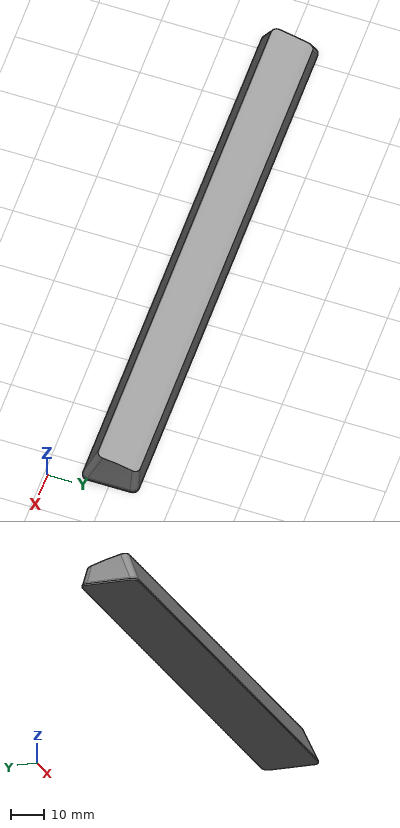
import cadquery as cq
import math

LENGTH = 170.5
WIDTH = 18.0
HEIGHT = 10.2

RIM_HEIGHT = 0.5
SKIRT_HEIGHT = 1.0
SKIRT_INSET = 0.2
BASE_CORNER_RADIUS = 2.0

FRONT_INSET = 4.3
BACK_INSET = 0.7
FRONT_END_INSET = 2.9
BACK_END_INSET = 3.2
TOP_CORNER_RADIUS = 2.0

BACK_HEIGHT = 6.7
CROWN_RISE = 0.3
CROWN_CLEARANCE = 0.2

FRONT_TOP_Y = -WIDTH / 2 + FRONT_INSET
BACK_TOP_Y = WIDTH / 2 - BACK_INSET
TOP_MIDDLE_Y = (FRONT_TOP_Y + BACK_TOP_Y) / 2
TOP_MIDDLE_Z = (HEIGHT + BACK_HEIGHT) / 2
TOP_RUN = BACK_TOP_Y - FRONT_TOP_Y
TOP_DROP = HEIGHT - BACK_HEIGHT
TOP_SPAN = math.hypot(TOP_RUN, TOP_DROP)


def base_outline(inset, height):
    """Rounded rectangle, inset evenly from the rim, lying at the given height."""
    sketch = cq.Sketch().rect(LENGTH - 2 * inset, WIDTH - 2 * inset)
    sketch = sketch.vertices().fillet(BASE_CORNER_RADIUS)
    return sketch.moved(cq.Location(cq.Vector(0, 0, height)))


def top_outline():
    """Rounded trapezoid on the sloping top plane, raised to clear the crown."""
    front_x = LENGTH / 2 - FRONT_END_INSET
    back_x = LENGTH / 2 - BACK_END_INSET
    half_span = TOP_SPAN / 2
    corners = [
        (-front_x, -half_span),
        (front_x, -half_span),
        (back_x, half_span),
        (-back_x, half_span),
        (-front_x, -half_span),
    ]
    sketch = cq.Sketch().polygon(corners).vertices().fillet(TOP_CORNER_RADIUS)
    plane = cq.Plane(
        origin=(0, TOP_MIDDLE_Y, TOP_MIDDLE_Z + CROWN_RISE + CROWN_CLEARANCE),
        xDir=(1, 0, 0),
        normal=(0, TOP_DROP, TOP_RUN),
    )
    return sketch.moved(cq.Location(plane))


def loft_between(lower, upper):
    return cq.Workplane().placeSketch(lower, upper).loft(ruled=True)


def skirt():
    rim = cq.Workplane().placeSketch(base_outline(0, 0)).extrude(RIM_HEIGHT)
    taper = loft_between(base_outline(0, RIM_HEIGHT), base_outline(SKIRT_INSET, SKIRT_HEIGHT))
    return rim.union(taper)


def crowned_envelope():
    """Full-length block whose upper side is the convex top surface."""
    slope = TOP_DROP / TOP_RUN
    front_y = -WIDTH / 2
    front_edge = (FRONT_TOP_Y, HEIGHT)
    crown = (TOP_MIDDLE_Y, TOP_MIDDLE_Z + CROWN_RISE)
    back_edge = (BACK_TOP_Y, BACK_HEIGHT)
    profile = (
        cq.Workplane("YZ", origin=(-LENGTH / 2, 0, 0))
        .moveTo(front_y, 0)
        .lineTo(front_y, HEIGHT)
        .lineTo(*front_edge)
        .threePointArc(crown, back_edge)
        .lineTo(WIDTH / 2, BACK_HEIGHT - slope * BACK_INSET)
        .lineTo(WIDTH / 2, 0)
        .close()
    )
    return profile.extrude(LENGTH)


tapered_body = loft_between(base_outline(SKIRT_INSET, SKIRT_HEIGHT), top_outline())
result = skirt().union(tapered_body).intersect(crowned_envelope())